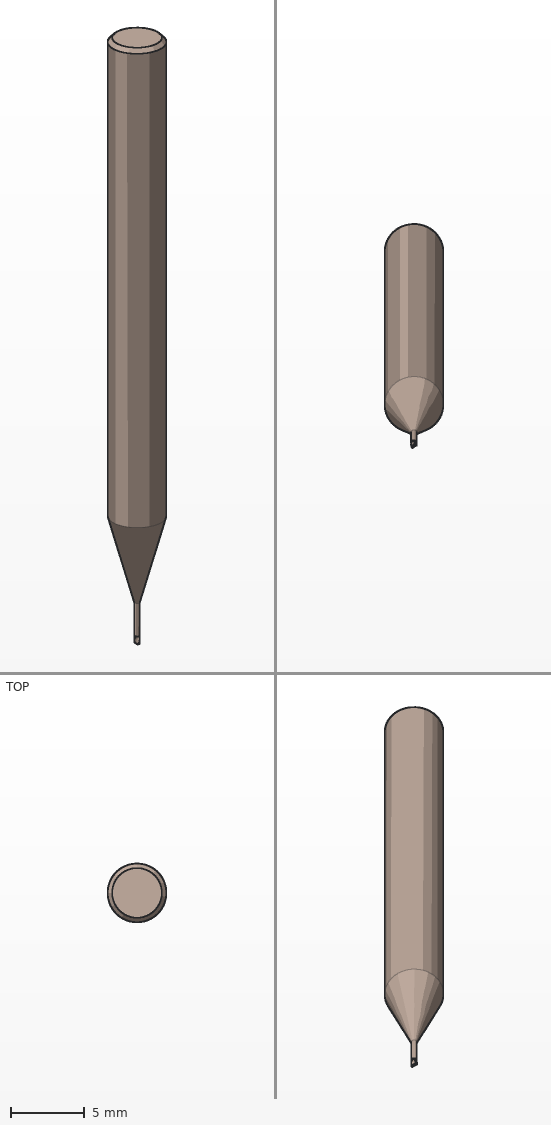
import cadquery as cq

total_length = 45.0
shank_radius = 2.002
top_chamfer = 0.3
shank_bottom = 9.5

neck_radius = 0.202
neck_top = 3.05

cutter_length = 0.6
cutter_radius = neck_radius
blade_thickness = 0.15
twist_angle = 100.0


def make_shank():
    """Revolved shank with a chamfered top, a conical taper and a thin neck."""
    profile = (
        cq.Workplane("YZ")
        .moveTo(0, cutter_length)
        .lineTo(-neck_radius, cutter_length)
        .lineTo(-neck_radius, neck_top)
        .lineTo(-shank_radius, shank_bottom)
        .lineTo(-shank_radius, total_length - top_chamfer)
        .lineTo(-shank_radius + top_chamfer, total_length)
        .lineTo(0, total_length)
        .close()
    )
    return profile.revolve(360, (0, 0), (0, 1))


def make_cutter():
    """Flat blade with rounded outer edges, twisted right-handed up to the neck."""
    half_thickness = blade_thickness / 2
    half_chord = (cutter_radius**2 - half_thickness**2) ** 0.5
    section = (
        cq.Workplane("XY")
        .moveTo(-half_chord, -half_thickness)
        .lineTo(half_chord, -half_thickness)
        .threePointArc((cutter_radius, 0), (half_chord, half_thickness))
        .lineTo(-half_chord, half_thickness)
        .threePointArc((-cutter_radius, 0), (-half_chord, -half_thickness))
        .close()
    )
    return section.twistExtrude(cutter_length, twist_angle)


shank = make_shank()
cutter = make_cutter()

result = cq.Compound.makeCompound([shank.val(), cutter.val()])